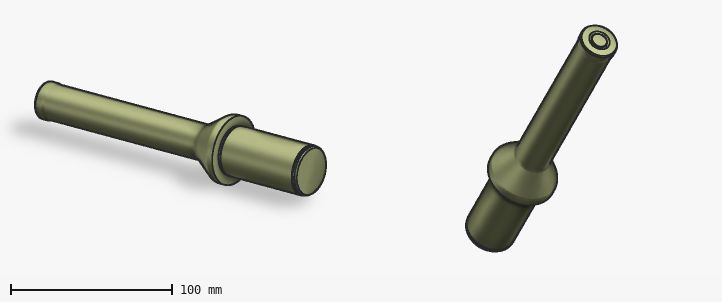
import cadquery as cq

TOTAL_LENGTH = 207.0

TIP_DIAMETER = 24.2
TIP_REAR_DIAMETER = 24.0
TIP_CROWN = 0.5
TIP_CHAMFER_END_X = 1.5
TIP_CHAMFER_DEPTH = 0.6
TIP_REAR_X = 5.8
ROD_START_X = 7.9
ROD_DIAMETER = 23.0

FLANGE_DIAMETER = 44.0
CONE_START_X = 124.8
CONE_END_X = 141.5
FLANGE_REAR_X = 146.5
CONE_ROOT_FILLET = 4.1
FLANGE_EDGE_FILLET = 4.1

SHANK_DIAMETER = 32.0
SHANK_END_DIAMETER = 31.5
NECK_LENGTH = 1.5
REAR_STEP_X = 204.3
STEP_LENGTH = 0.6
END_CHAMFER_LENGTH = 1.2
END_CHAMFER_DEPTH = 0.8

PIN_DIAMETER = 10.4
PIN_CHAMFER = 0.5
PIN_LENGTH = 10.4
COUNTERSINK_DIAMETER = 14.0
COUNTERSINK_DEPTH = 0.6


def make_holder_blank():
    """Revolve the stepped outline of the rod, flange and shank."""
    tip_radius = TIP_DIAMETER / 2
    rod_radius = ROD_DIAMETER / 2
    flange_radius = FLANGE_DIAMETER / 2
    shank_end_radius = SHANK_END_DIAMETER / 2
    shank_radius = SHANK_DIAMETER / 2
    neck_end_x = FLANGE_REAR_X + NECK_LENGTH
    outline = [
        (0, 0),
        (0, PIN_DIAMETER / 2),
        (TIP_CROWN, tip_radius - TIP_CHAMFER_DEPTH),
        (TIP_CHAMFER_END_X, tip_radius),
        (TIP_REAR_X, TIP_REAR_DIAMETER / 2),
        (ROD_START_X, rod_radius),
        (CONE_START_X, rod_radius),
        (CONE_END_X, flange_radius),
        (FLANGE_REAR_X, flange_radius),
        (FLANGE_REAR_X, shank_end_radius),
        (neck_end_x, shank_end_radius),
        (neck_end_x + STEP_LENGTH, shank_radius),
        (REAR_STEP_X - STEP_LENGTH, shank_radius),
        (REAR_STEP_X, shank_end_radius),
        (TOTAL_LENGTH - END_CHAMFER_LENGTH, shank_end_radius),
        (TOTAL_LENGTH, shank_end_radius - END_CHAMFER_DEPTH),
        (TOTAL_LENGTH, 0),
    ]
    return cq.Workplane("XY").polyline(outline).close().revolve(360, (0, 0, 0), (1, 0, 0))


def round_ring_edge(body, x, fillet_radius):
    """Fillet the one circular edge that lies in the plane at x."""
    half_gap = 0.2
    slab = cq.selectors.BoxSelector(
        (x - half_gap, -FLANGE_DIAMETER, -FLANGE_DIAMETER),
        (x + half_gap, FLANGE_DIAMETER, FLANGE_DIAMETER),
    )
    return body.edges("%CIRCLE").edges(slab).fillet(fillet_radius)


def make_pin_socket():
    """Bore for the pin, with a countersunk mouth."""
    pin_radius = PIN_DIAMETER / 2
    outline = [
        (0, 0),
        (0, COUNTERSINK_DIAMETER / 2),
        (COUNTERSINK_DEPTH, pin_radius),
        (PIN_LENGTH, pin_radius),
        (PIN_LENGTH, 0),
    ]
    return cq.Workplane("XY").polyline(outline).close().revolve(360, (0, 0, 0), (1, 0, 0))


def make_pin():
    """Round pin, flush with the tip face."""
    pin = cq.Workplane("YZ").circle(PIN_DIAMETER / 2).extrude(PIN_LENGTH)
    return pin.faces("<X").edges().chamfer(PIN_CHAMFER)


def make_holder():
    """Rod, flange and shank in one piece, with the socket for the pin."""
    holder = make_holder_blank()
    holder = round_ring_edge(holder, CONE_START_X, CONE_ROOT_FILLET)
    holder = round_ring_edge(holder, CONE_END_X, FLANGE_EDGE_FILLET)
    return holder.cut(make_pin_socket())


holder = make_holder()
pin = make_pin()
result = cq.Compound.makeCompound([*holder.solids().vals(), *pin.solids().vals()])